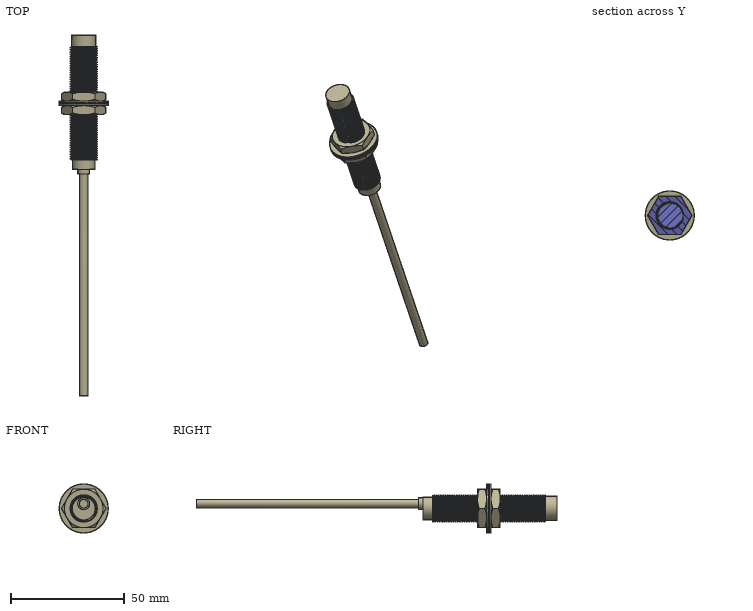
import cadquery as cq
import math

total_length = 159.1

thread_diameter = 12.0
thread_pitch = 1.0
thread_depth = 0.613
thread_turns = 50
crest_width = thread_pitch / 8
root_width = thread_pitch / 4
cap_diameter = 10.8
cap_length = 5.0
rear_diameter = 10.1
rear_length = 4.2
thread_end = cap_length + thread_turns * thread_pitch
rear_end = thread_end + rear_length

cable_diameter = 3.85
cable_rise = 2.1
boss_diameter = 5.3
boss_length = 2.0
boss_end = rear_end + boss_length

nut_width = 17.0
nut_thickness = 4.0
nut_start = 25.1
nut_face_diameter = nut_width
nut_chamfer_angle = 30.0
nut_spacing = 2.0
washer_diameter = 21.7
washer_thickness = 0.75
washer_start = nut_start + nut_thickness
rear_nut_start = washer_start + nut_spacing
rear_washer_start = rear_nut_start - washer_thickness

flank_points = 13


def rod(diameter, start, end, rise=0.0):
    """Cylinder along -Y between two distances from the sensing face."""
    plane = cq.Workplane("XZ", origin=(0, -start, rise))
    return plane.circle(diameter / 2).extrude(end - start)


def polar(radius, angle):
    return cq.Vector(radius * math.cos(angle), radius * math.sin(angle), 0)


def flank(start_radius, end_radius, start_angle, end_angle):
    """Spiral edge joining the crest and the root in the cross-section of the thread."""
    points = []
    for i in range(flank_points):
        t = i / (flank_points - 1)
        radius = start_radius + (end_radius - start_radius) * t
        angle = start_angle + (end_angle - start_angle) * t
        points.append(polar(radius, angle))
    return cq.Edge.makeSpline(points)


def thread_section():
    """Cross-section of the thread: crest arc, spiral flank, root arc, spiral flank."""
    crest_radius = thread_diameter / 2
    root_radius = crest_radius - thread_depth
    crest_edge = math.pi * crest_width / thread_pitch
    root_edge = math.pi - math.pi * root_width / thread_pitch
    crest = cq.Edge.makeThreePointArc(
        polar(crest_radius, -crest_edge), polar(crest_radius, 0), polar(crest_radius, crest_edge)
    )
    root = cq.Edge.makeThreePointArc(
        polar(root_radius, root_edge), polar(root_radius, math.pi), polar(root_radius, -root_edge)
    )
    falling = flank(crest_radius, root_radius, crest_edge, root_edge)
    rising = flank(root_radius, crest_radius, -root_edge, -crest_edge)
    return cq.Wire.assembleEdges([crest, falling, root, rising])


def make_turn():
    """One turn of the thread, starting where the cap ends."""
    turn = cq.Workplane("XY").add(thread_section()).toPending().twistExtrude(thread_pitch, 360)
    return turn.rotate((0, 0, 0), (1, 0, 0), 90).translate((0, -cap_length, 0))


def faces_away_from(body, joints):
    """Faces of a body, without the flat ones that lie on the given joint distances."""
    kept = []
    for face in body.val().Faces():
        box = face.BoundingBox()
        flat = box.ylen < thread_pitch / 100
        on_joint = any(abs(box.center.y + joint) < thread_pitch / 100 for joint in joints)
        if not (flat and on_joint):
            kept.append(face)
    return kept


def make_housing():
    """The turns meet on whole cross-sections; leaving those out joins them all in one skin."""
    turn = make_turn()
    first_joint = cap_length + thread_pitch
    last_joint = thread_end - thread_pitch

    front = turn.union(rod(cap_diameter, 0, cap_length))
    rear = turn.translate((0, cap_length - last_joint, 0))
    rear = rear.union(rod(rear_diameter, thread_end, rear_end))
    rear = rear.union(rod(boss_diameter, rear_end, boss_end, cable_rise))
    rear = rear.union(rod(cable_diameter, boss_end, total_length, cable_rise))

    skin = faces_away_from(front, [first_joint]) + faces_away_from(rear, [last_joint])
    for i in range(1, thread_turns - 1):
        middle = turn.translate((0, -i * thread_pitch, 0))
        start = cap_length + i * thread_pitch
        skin += faces_away_from(middle, [start, start + thread_pitch])
    return cq.Workplane(obj=cq.Solid.makeSolid(cq.Shell.makeShell(skin)))


def make_nut(start):
    """Hexagon nut with flats facing up and down, chamfered on both faces."""
    end = start + nut_thickness
    corner_diameter = nut_width / math.cos(math.radians(30))
    hexagon = cq.Workplane("XZ", origin=(0, -start, 0)).polygon(6, corner_diameter)
    hexagon = hexagon.extrude(nut_thickness)

    face_radius = nut_face_diameter / 2
    outer_radius = corner_diameter / 2 + 1
    drop = (outer_radius - face_radius) * math.tan(math.radians(nut_chamfer_angle))
    chamfers = (
        cq.Workplane("XY")
        .moveTo(0, -start)
        .lineTo(face_radius, -start)
        .lineTo(outer_radius, -start - drop)
        .lineTo(outer_radius, -end + drop)
        .lineTo(face_radius, -end)
        .lineTo(0, -end)
        .close()
        .revolve(360, (0, 0, 0), (0, 1, 0))
    )
    return hexagon.intersect(chamfers).cut(rod(thread_diameter, start, end))


def make_washer(start):
    end = start + washer_thickness
    return rod(washer_diameter, start, end).cut(rod(thread_diameter, start, end))


housing = make_housing()
nuts = [make_nut(start) for start in (nut_start, rear_nut_start)]
washers = [make_washer(start) for start in (washer_start, rear_washer_start)]

result = cq.Compound.makeCompound(
    [
        housing.val(),
        *[nut.val() for nut in nuts],
        *[washer.val() for washer in washers],
    ]
)